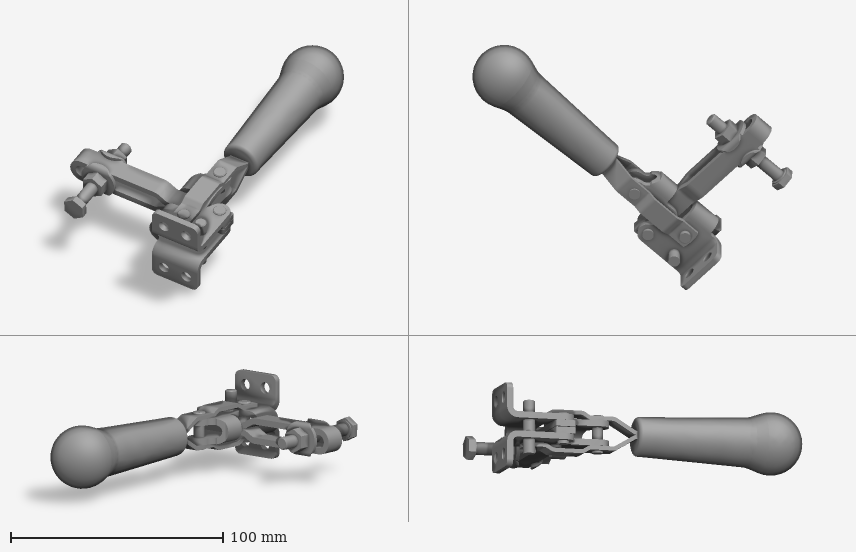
import cadquery as cq
import math


SHEET = 3.0
ARM_GAP = 0.3
ARM_Y = 29.0
ARM_WIDTH = 9.9
ARM_LEFT = -66.8
ARM_RIGHT = 17.0

BASE_LEFT = -7.8
BASE_RIGHT = 17.2
BASE_NOSE_TOP = 22.1
BASE_NOSE_BOTTOM = 7.9
FLANGE_SPAN = 40.0
BEND_INSIDE = 2.2
FLANGE_CORNER = 3.0
HOLE_DIAMETER = 5.5
HOLE_XS = (-1.2, 11.0)
HOLE_Z = 13.5

LINK_NOSE_X = -7.5
LINK_BOSS_RADIUS = 5.5
LINK_NOSE_BOTTOM = 34.4
LINK_NOSE_TOP = 44.2
LINK_SHOULDER = 46.5

HANDLE_PIVOT = (0.0, 16.5)
LINK_TOP_PIVOT = (0.0, 49.5)
LINK_ARM_PIVOT = (0.0, ARM_Y)
ARM_PIVOT = (12.1, ARM_Y)
STOP_PIN = (11.7, 12.4)

STRAP = 2.0
STRAP_WIDTH = 10.0
STRAP_BULGE = 0.7
STRAP_END = 12.0

BOLT_X = -50.7
BOLT_DIAMETER = 6.1
HEX_FLATS = 10.0
WASHER = 1.8

PLATE_IN = SHEET + ARM_GAP / 2
PLATE_OUT = PLATE_IN + SHEET
ARM_TOP = ARM_Y + ARM_WIDTH / 2
ARM_BOTTOM = ARM_Y - ARM_WIDTH / 2
LOBE_RADIUS = BASE_RIGHT - ARM_PIVOT[0]
HEX_CORNERS = HEX_FLATS / math.cos(math.radians(30))


def bent_strip(plane, path, thickness, inside_radius, width):
    """Strip of sheet that follows a path in the given plane.

    The sheet lies to the left of the path, and each bend is rounded on both faces.
    """
    headings = [math.atan2(b[1] - a[1], b[0] - a[0]) for a, b in zip(path, path[1:])]
    starts = [headings[0]] + headings
    ends = headings + [headings[-1]]
    offset = []
    for (u, v), before, after in zip(path, starts, ends):
        middle = (before + after) / 2
        reach = thickness / math.cos((after - before) / 2)
        offset.append((u - reach * math.sin(middle), v + reach * math.cos(middle)))
    strip = cq.Workplane(plane).polyline(path + offset[::-1]).close().extrude(width)
    for near, far, before, after in zip(path[1:-1], offset[1:-1], headings, headings[1:]):
        inner, outer = (far, near) if after > before else (near, far)
        for (u, v), radius in ((inner, inside_radius), (outer, inside_radius + thickness)):
            corner = plane.toWorldCoords((u, v, width / 2))
            strip = strip.edges(cq.selectors.NearestToPointSelector(corner.toTuple())).fillet(radius)
    return strip


def both_sides(half):
    """The given +Z half together with its mirror image."""
    return half.union(half.mirror("XY"))


def along_y(plan, bottom, top):
    """Turn a sketch drawn in (X, -Z) into a body from Y = bottom to Y = top."""
    return plan.extrude(top - bottom).translate((0, bottom, 0))


def plan_y():
    """Sketch plane at Y = 0 that looks along +Y, with local axes X and -Z."""
    return cq.Workplane(cq.Plane(origin=(0, 0, 0), xDir=(1, 0, 0), normal=(0, 1, 0)))


def cylinder_z(center, diameter, low, high):
    """Cylinder along Z about an (X, Y) centre, from Z = low to Z = high."""
    return cq.Workplane("XY", origin=(0, 0, low)).center(*center).circle(diameter / 2).extrude(high - low)


def prism_z(outline):
    """Extrude a closed XY outline through the whole depth of the clamp."""
    return outline.extrude(FLANGE_SPAN / 2, both=True)


def u_sheet(nose_x, right, bottom, top):
    """Two parallel cheeks joined by a half-round nose on the -X side."""
    def bar(half):
        length = right - nose_x
        block = along_y(plan_y().center(nose_x + length / 2, 0).rect(length, 2 * half), bottom, top)
        return block.union(along_y(plan_y().center(nose_x, 0).circle(half), bottom, top))
    return bar(PLATE_OUT).cut(bar(PLATE_IN))


def make_base():
    nose_left = BASE_LEFT - PLATE_OUT
    nose_corner = 1.5
    bend_outside = BEND_INSIDE + SHEET
    bend_z = PLATE_OUT + BEND_INSIDE
    notch_start = (2.1, BASE_NOSE_TOP)
    lobe_x, lobe_y = ARM_PIVOT
    distance = math.hypot(lobe_x - notch_start[0], lobe_y - notch_start[1])
    tangent_angle = math.atan2(notch_start[1] - lobe_y, notch_start[0] - lobe_x)
    tangent_angle -= math.acos(LOBE_RADIUS / distance)
    tangent = (
        lobe_x + LOBE_RADIUS * math.cos(tangent_angle),
        lobe_y + LOBE_RADIUS * math.sin(tangent_angle),
    )
    outline = (
        cq.Workplane("XY")
        .moveTo(nose_left, BASE_NOSE_BOTTOM)
        .lineTo(BASE_LEFT - nose_corner, BASE_NOSE_BOTTOM)
        .radiusArc((BASE_LEFT, BASE_NOSE_BOTTOM - nose_corner), nose_corner)
        .lineTo(BASE_LEFT, bend_outside)
        .lineTo(BASE_RIGHT, bend_outside)
        .lineTo(BASE_RIGHT, lobe_y)
        .threePointArc((lobe_x, lobe_y + LOBE_RADIUS), tangent)
        .lineTo(*notch_start)
        .lineTo(nose_left, BASE_NOSE_TOP)
        .close()
    )
    blank = u_sheet(BASE_LEFT, BASE_RIGHT, bend_outside, lobe_y + LOBE_RADIUS)
    cheeks = blank.intersect(prism_z(outline))

    diagonal = math.sqrt(0.5)
    foot = (
        cq.Workplane("YZ", origin=(BASE_LEFT, 0, 0))
        .moveTo(bend_outside, PLATE_IN)
        .threePointArc((bend_outside * (1 - diagonal), bend_z - bend_outside * diagonal), (0, bend_z))
        .lineTo(0, FLANGE_SPAN / 2)
        .lineTo(SHEET, FLANGE_SPAN / 2)
        .lineTo(SHEET, bend_z)
        .threePointArc(
            (bend_outside - BEND_INSIDE * diagonal, bend_z - BEND_INSIDE * diagonal),
            (bend_outside, PLATE_OUT),
        )
        .close()
        .extrude(BASE_RIGHT - BASE_LEFT)
        .faces(">Z").edges("|Y").fillet(FLANGE_CORNER)
    )
    holes = plan_y().pushPoints([(x, -HOLE_Z) for x in HOLE_XS]).circle(HOLE_DIAMETER / 2)
    foot = foot.cut(along_y(holes, 0, SHEET))
    return cheeks.union(both_sides(foot))


def make_link():
    nose_left = LINK_NOSE_X - PLATE_OUT
    top_x, top_y = LINK_TOP_PIVOT
    low_x, low_y = LINK_ARM_PIVOT
    r = LINK_BOSS_RADIUS
    waist = 4.6
    nose_lip = 1.8
    shoulder_flat = 1.2
    shoulder_hollow = 3.7
    corner = 1.8
    outline = (
        cq.Workplane("XY")
        .moveTo(low_x + r, low_y)
        .threePointArc((top_x + waist, (top_y + low_y) / 2), (top_x + r, top_y))
        .threePointArc((top_x, top_y + r), (top_x - r, top_y))
        .radiusArc((LINK_NOSE_X, LINK_SHOULDER), shoulder_hollow)
        .lineTo(LINK_NOSE_X - shoulder_flat, LINK_SHOULDER)
        .lineTo(nose_left + nose_lip, LINK_NOSE_TOP)
        .lineTo(nose_left, LINK_NOSE_TOP)
        .lineTo(nose_left, LINK_NOSE_BOTTOM)
        .lineTo(low_x - r - corner, LINK_NOSE_BOTTOM)
        .radiusArc((low_x - r, LINK_NOSE_BOTTOM - corner), corner)
        .lineTo(low_x - r, low_y)
        .threePointArc((low_x, low_y - r), (low_x + r, low_y))
        .close()
    )
    blank = u_sheet(LINK_NOSE_X, top_x + r, low_y - r, top_y + r)
    return blank.intersect(prism_z(outline))


def make_arm():
    loop_x = ARM_LEFT + PLATE_OUT
    pinch_x = -14.8
    spread_x = -20.2
    end_round = 0.7
    path = [(loop_x, PLATE_IN), (spread_x, PLATE_IN), (pinch_x, ARM_GAP / 2), (ARM_RIGHT, ARM_GAP / 2)]
    plane = cq.Plane(origin=(0, ARM_BOTTOM, 0), xDir=(1, 0, 0), normal=(0, 1, 0))
    strip = bent_strip(plane, path, SHEET, SHEET, ARM_WIDTH)
    strip = strip.faces(">X").edges("|Z").fillet(end_round)
    loop = along_y(
        plan_y()
        .moveTo(loop_x, PLATE_OUT)
        .threePointArc((ARM_LEFT, 0), (loop_x, -PLATE_OUT))
        .lineTo(loop_x, -PLATE_IN)
        .threePointArc((ARM_LEFT + SHEET, 0), (loop_x, PLATE_IN))
        .close(),
        ARM_BOTTOM, ARM_TOP,
    )
    return both_sides(strip).union(loop)


def make_straps():
    joggle = 2.1
    joggle_z = PLATE_OUT + joggle
    tang_top = 77.7
    inside_radius = 1.5
    half = STRAP_WIDTH / 2
    inner_face = [
        (tang_top, 0.0), (66.5, 0.0), (56.2, PLATE_OUT), (44.1, PLATE_OUT), (40.7, joggle_z),
        (26.6, joggle_z), (22.9, PLATE_OUT), (STRAP_END, PLATE_OUT),
    ]
    plane = cq.Plane(origin=(half, 0, 0), xDir=(0, -1, 0), normal=(-1, 0, 0))
    strap = bent_strip(plane, [(-y, z) for y, z in inner_face], STRAP, inside_radius, STRAP_WIDTH)
    outline = (
        cq.Workplane("XY")
        .moveTo(-half, STRAP_END + STRAP_BULGE)
        .threePointArc((0, STRAP_END), (half, STRAP_END + STRAP_BULGE))
        .lineTo(half, tang_top)
        .lineTo(-half, tang_top)
        .close()
    )
    return both_sides(strap.intersect(prism_z(outline)))


def make_grip():
    bottom = 67.7
    bottom_radius = 9.3
    bottom_round = 1.8
    waist = (11.8, 122.8)
    waist_round = 11.2
    knob_top = 149.5
    knob_radius = 15.0
    knob_y = knob_top - knob_radius
    diagonal = knob_radius * math.sqrt(0.5)
    dx = waist[0]
    dy = knob_y - waist[1]
    angle = math.atan2(-dy, dx) + math.acos(knob_radius / math.hypot(dx, dy))
    tangent = (knob_radius * math.cos(angle), knob_y + knob_radius * math.sin(angle))
    return (
        cq.Workplane("XY")
        .moveTo(0, bottom)
        .lineTo(bottom_radius, bottom)
        .lineTo(*waist)
        .lineTo(*tangent)
        .threePointArc((diagonal, knob_y + diagonal), (0, knob_top))
        .close()
        .revolve(360, (0, 0, 0), (0, 1, 0))
        .edges(cq.selectors.NearestToPointSelector((0, waist[1], 0))).fillet(waist_round)
        .faces("<Y").edges().fillet(bottom_round)
    )


def pin(center, back, front, back_diameter, front_diameter):
    """Pin along Z with a chamfered front head, a plain back head and a thinner shank between."""
    shank = 5.1
    chamfer = 0.5
    head = 2.4
    body = cylinder_z(center, shank, back, front)
    front_head = cylinder_z(center, front_diameter, front - head, front).faces(">Z").chamfer(chamfer)
    back_head = cylinder_z(center, back_diameter, back, back + head)
    return body.union(front_head).union(back_head)


def make_pins():
    strap_face = PLATE_OUT + STRAP
    rivet = 6.3
    peen = 5.4
    head_rise = 0.9
    cheek_peen_rise = 1.5
    handle_peen_rise = 2.2
    stop_diameter = 5.5
    stop_back = -13.0
    stop_front = 12.4
    stop_chamfer = 0.5

    stop = cylinder_z(STOP_PIN, stop_diameter, stop_back, stop_front)
    parts = stop.faces(">Z").chamfer(stop_chamfer)
    front = strap_face + head_rise
    parts = parts.union(pin(LINK_TOP_PIVOT, -strap_face - head_rise, front, peen, rivet))
    parts = parts.union(pin(HANDLE_PIVOT, -strap_face - handle_peen_rise, front, peen, rivet))
    for center in (LINK_ARM_PIVOT, ARM_PIVOT):
        back = -PLATE_OUT - cheek_peen_rise
        parts = parts.union(pin(center, back, PLATE_OUT + head_rise, peen, rivet))
    return parts


def washer(side):
    """Round washer with rims folded over the arm's flanks: side 1 is the top edge, -1 the bottom edge."""
    disc_radius = 9.0
    rim_out = PLATE_OUT + WASHER
    fold_round = 2.2
    tab_chord = 6.7
    tab_drop = 3.6
    tab_radius = (tab_chord**2 + tab_drop**2) / (2 * tab_drop)
    face = ARM_TOP + WASHER
    disc = along_y(plan_y().center(BOLT_X, 0).circle(disc_radius), face - tab_drop, face)
    rim = (
        cq.Workplane("XY").box(2 * disc_radius, tab_drop, 2 * rim_out)
        .translate((BOLT_X, face - tab_drop / 2, 0))
        .edges("|X and >Y").fillet(fold_round)
    )
    channel = (
        cq.Workplane("XY").box(2 * disc_radius, tab_drop, 2 * PLATE_OUT)
        .translate((BOLT_X, ARM_TOP - tab_drop / 2, 0))
    )
    tab_round = cylinder_z((BOLT_X, face - tab_drop + tab_radius), 2 * tab_radius, -rim_out, rim_out)
    web = along_y(plan_y().center(BOLT_X, 0).rect(2 * disc_radius, 2 * PLATE_OUT), ARM_TOP, face)
    body = disc.intersect(rim).intersect(tab_round.union(web)).cut(channel)
    if side < 0:
        body = body.mirror("XZ").translate((0, 2 * ARM_Y, 0))
    return body


def hexagon(bottom, top, turn=0.0):
    """Hexagonal prism on the bolt axis with corners towards +Z and -Z."""
    prism = cq.Workplane("XY").polygon(6, HEX_CORNERS).extrude(top - bottom)
    prism = prism.rotate((0, 0, 0), (0, 0, 1), 30 + turn).rotate((0, 0, 0), (1, 0, 0), -90)
    return prism.translate((BOLT_X, bottom, 0))


def rod_y(diameter, bottom, top):
    """Cylinder on the bolt axis from Y = bottom to Y = top."""
    return along_y(plan_y().center(BOLT_X, 0).circle(diameter / 2), bottom, top)


def make_bolt():
    head = 3.5
    head_turn = -4.0
    collar_diameter = 8.8
    collar_top = 4.0
    bolt_top = 48.9
    nut = 5.1
    tip_chamfer = 0.6
    shank = rod_y(BOLT_DIAMETER, 0, bolt_top).faces(">Y").chamfer(tip_chamfer)
    upper_nut = ARM_TOP + WASHER
    lower_nut = ARM_BOTTOM - WASHER
    return (
        shank
        .union(hexagon(0, head, head_turn))
        .union(rod_y(collar_diameter, head, collar_top))
        .union(hexagon(upper_nut, upper_nut + nut))
        .union(hexagon(lower_nut - nut, lower_nut))
        .union(washer(1))
        .union(washer(-1))
    )


result = make_base()
for piece in (make_link(), make_arm(), make_straps(), make_grip(), make_pins(), make_bolt()):
    result = result.union(piece)